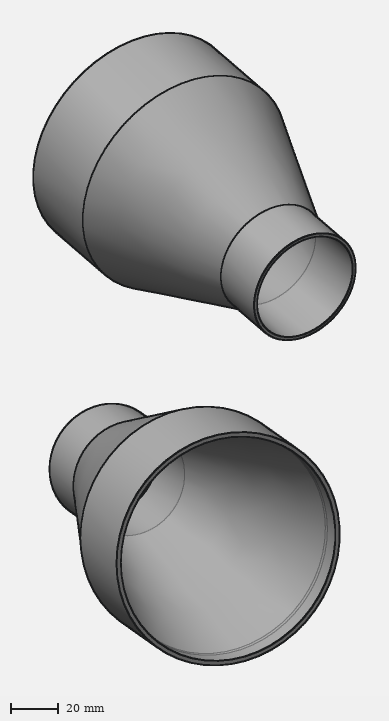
import cadquery as cq

large_outer_diameter = 101.6
large_inner_diameter = 97.38
small_outer_diameter = 50.8
small_inner_diameter = 47.5
total_length = 130.18

large_tube_length = 38.1
small_tube_length = 25.4
large_bore_length = 9.525
small_bore_length = 28.575

bore_blend_radius = 6.35
rim_chamfer = 0.127


def reducer_solid(large_diameter, small_diameter, large_length, small_length):
    """Revolve a straight, tapered, straight profile about the X axis."""
    large_radius = large_diameter / 2
    small_radius = small_diameter / 2
    return (
        cq.Workplane("XY")
        .lineTo(0, large_radius)
        .lineTo(large_length, large_radius)
        .lineTo(total_length - small_length, small_radius)
        .lineTo(total_length, small_radius)
        .lineTo(total_length, 0)
        .close()
        .revolve(360, (0, 0, 0), (1, 0, 0))
    )


def make_bore():
    """Tapered bore, with a rounded blend where the large straight end meets the taper."""
    bore = reducer_solid(
        large_inner_diameter, small_inner_diameter, large_bore_length, small_bore_length
    )
    blend_edge = cq.selectors.NearestToPointSelector((large_bore_length, 0, 0))
    return bore.edges("%CIRCLE").edges(blend_edge).fillet(bore_blend_radius)


outer_body = reducer_solid(
    large_outer_diameter, small_outer_diameter, large_tube_length, small_tube_length
)
reducer = outer_body.cut(make_bore())

result = reducer.faces("<X or >X").edges().chamfer(rim_chamfer)